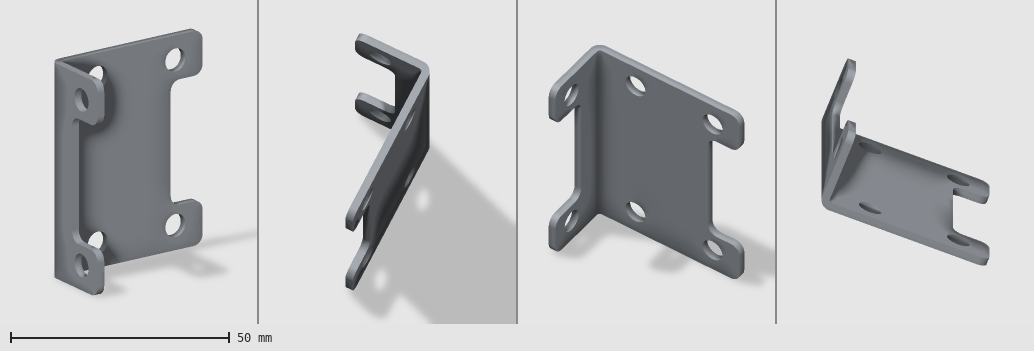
import cadquery as cq

width_x = 19.05
depth_y = 41.25
height = 51.95

thickness = 1.85
bend_outer_radius = 2.65
bend_inner_radius = bend_outer_radius - thickness

tab_height = 10.85
notch_height = height - 2 * tab_height
short_notch_start = 8.9
long_notch_start = 32.35
corner_radius = 2.5

hole_diameter = 5.55
hole_edge_offset = 5.95
hole_levels = (hole_edge_offset, height - hole_edge_offset)
short_hole_positions = (12.65,)
long_hole_positions = (12.05, 33.65)


def flange(plane, length, notch_start, hole_positions):
    """Flat flange from the bend line to its notched free edge, at the plane's local origin."""
    plate = (
        cq.Workplane(plane)
        .moveTo(bend_outer_radius, 0)
        .lineTo(length, 0)
        .lineTo(length, tab_height)
        .lineTo(notch_start, tab_height)
        .lineTo(notch_start, tab_height + notch_height)
        .lineTo(length, tab_height + notch_height)
        .lineTo(length, height)
        .lineTo(bend_outer_radius, height)
        .close()
        .extrude(thickness)
    )
    normal_edges = plate.edges(cq.selectors.ParallelDirSelector(plane.zDir))
    corners = normal_edges.filter(
        lambda edge: plane.toLocalCoords(edge.Center()).x > 2 * bend_outer_radius
    )
    plate = corners.fillet(corner_radius)
    hole_centers = [(position, level) for position in hole_positions for level in hole_levels]
    holes = (
        cq.Workplane(plane)
        .pushPoints(hole_centers)
        .circle(hole_diameter / 2)
        .extrude(thickness)
    )
    return plate.cut(holes)


def bend():
    """Quarter-round bend joining the two flanges."""
    block = cq.Workplane("XY").box(bend_outer_radius, bend_outer_radius, height, centered=False)
    ring = (
        cq.Workplane("XY")
        .center(bend_outer_radius, bend_outer_radius)
        .circle(bend_outer_radius)
        .circle(bend_inner_radius)
        .extrude(height)
    )
    return block.intersect(ring)


short_plane = cq.Plane(origin=(0, thickness, 0), xDir=(1, 0, 0), normal=(0, -1, 0))
long_plane = cq.Plane(origin=(0, 0, 0), xDir=(0, 1, 0), normal=(1, 0, 0))

short_flange = flange(short_plane, width_x, short_notch_start, short_hole_positions)
long_flange = flange(long_plane, depth_y, long_notch_start, long_hole_positions)

result = bend().union(short_flange).union(long_flange)